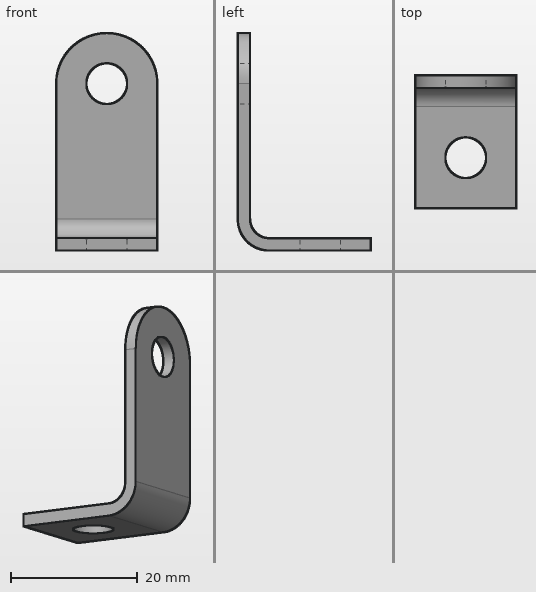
import cadquery as cq

width = 16.0
depth = 21.0
height = 34.35
thickness = 2.0
inner_bend_radius = 3.0
hole_diameter = 6.4

outer_bend_radius = inner_bend_radius + thickness
end_radius = width / 2
upper_hole_z = height - end_radius
foot_hole_y = width / 2


def bent_strip():
    """L-shaped side profile with its free foot edge at Y = 0, centred on X = 0."""
    profile = (
        cq.Workplane("YZ")
        .moveTo(0, 0)
        .lineTo(depth - outer_bend_radius, 0)
        .radiusArc((depth, outer_bend_radius), -outer_bend_radius)
        .lineTo(depth, height)
        .lineTo(depth - thickness, height)
        .lineTo(depth - thickness, outer_bend_radius)
        .radiusArc((depth - outer_bend_radius, thickness), inner_bend_radius)
        .lineTo(0, thickness)
        .close()
    )
    return profile.extrude(width / 2, both=True)


def rounded_outline():
    """Front outline with a full-round top, as deep as the bracket."""
    return (
        cq.Workplane("XZ")
        .moveTo(-width / 2, 0)
        .lineTo(width / 2, 0)
        .lineTo(width / 2, upper_hole_z)
        .threePointArc((0, height), (-width / 2, upper_hole_z))
        .close()
        .extrude(-depth)
    )


def upper_hole():
    """Hole through the upright leg, concentric with its rounded end."""
    return (
        cq.Workplane("XZ")
        .center(0, upper_hole_z)
        .circle(hole_diameter / 2)
        .extrude(-depth)
    )


def foot_hole():
    """Vertical hole through the foot."""
    return (
        cq.Workplane("XY")
        .center(0, foot_hole_y)
        .circle(hole_diameter / 2)
        .extrude(thickness)
    )


result = bent_strip().intersect(rounded_outline()).cut(upper_hole()).cut(foot_hole())